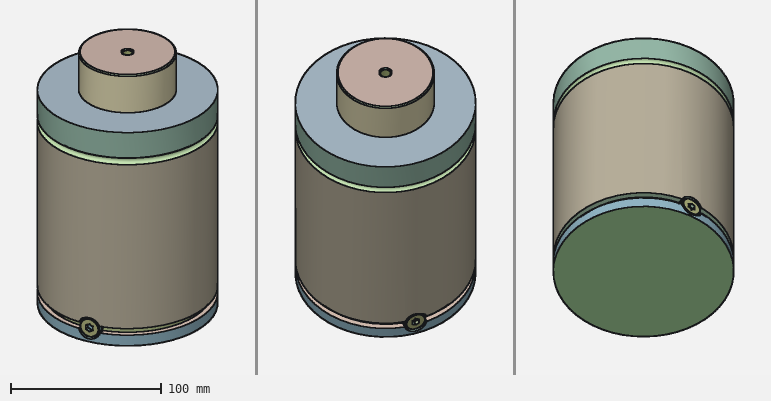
import cadquery as cq
import math

total_height = 190.0
body_diameter = 120.0
body_radius = body_diameter / 2
body_height = 161.5
rod_diameter = 65.0
rod_chamfer = 1.0

ring_groove_z = 139.6
ring_groove_width = 5.0

clamp_groove_bottom = 8.2
clamp_groove_width = 5.0
clamp_groove_depth = 4.0

rod_hole_diameter = 6.8
rod_hole_mouth = 8.5
rod_hole_depth = 15.2
drill_point_angle = 118.0

port_z = 10.3
port_diameter = 16.0
port_depth = 5.0
plug_diameter = 14.0
plug_recess = 0.5
plug_chamfer = 0.5
socket_across_flats = 5.0
socket_depth = 2.8


def make_body():
    body = cq.Workplane("XY").circle(body_radius).extrude(body_height)
    rod = cq.Workplane("XY").circle(rod_diameter / 2).extrude(total_height)
    return body.union(rod.faces(">Z").chamfer(rod_chamfer))


def make_ring_groove():
    section = cq.Workplane("XZ").center(body_radius, ring_groove_z).circle(ring_groove_width / 2)
    return section.revolve(360, (-body_radius, 0), (-body_radius, 1))


def make_clamp_groove():
    return (
        cq.Workplane("XY")
        .workplane(offset=clamp_groove_bottom)
        .circle(body_radius + clamp_groove_depth)
        .circle(body_radius - clamp_groove_depth)
        .extrude(clamp_groove_width)
    )


def make_rod_hole():
    """Drilled hole with a conical bottom and a 45 degree mouth chamfer."""
    hole_radius = rod_hole_diameter / 2
    mouth_radius = rod_hole_mouth / 2
    hole_bottom = total_height - rod_hole_depth
    tip_height = hole_radius / math.tan(math.radians(drill_point_angle / 2))
    return (
        cq.Workplane("XZ")
        .moveTo(0, hole_bottom - tip_height)
        .lineTo(hole_radius, hole_bottom)
        .lineTo(hole_radius, total_height - (mouth_radius - hole_radius))
        .lineTo(mouth_radius, total_height)
        .lineTo(0, total_height)
        .close()
        .revolve(360, (0, 0), (0, 1))
    )


def port_plane(depth):
    """Plane facing -Y, centred on the port, at a depth below the body surface."""
    return cq.Workplane("XZ", origin=(0, depth - body_radius, port_z))


def make_port():
    return port_plane(port_depth).circle(port_diameter / 2).extrude(port_depth)


def make_plug():
    plug_bottom = port_depth + clamp_groove_depth
    plug = port_plane(plug_bottom).circle(plug_diameter / 2).extrude(plug_bottom - plug_recess)
    plug = plug.faces("<Y").chamfer(plug_chamfer)
    across_corners = socket_across_flats / math.cos(math.radians(30))
    socket = (
        port_plane(plug_recess + socket_depth)
        .transformed(rotate=(0, 0, 90))
        .polygon(6, across_corners)
        .extrude(socket_depth)
    )
    return plug.cut(socket)


result = (
    make_body()
    .cut(make_ring_groove())
    .cut(make_clamp_groove())
    .cut(make_rod_hole())
    .cut(make_port())
    .union(make_plug())
)